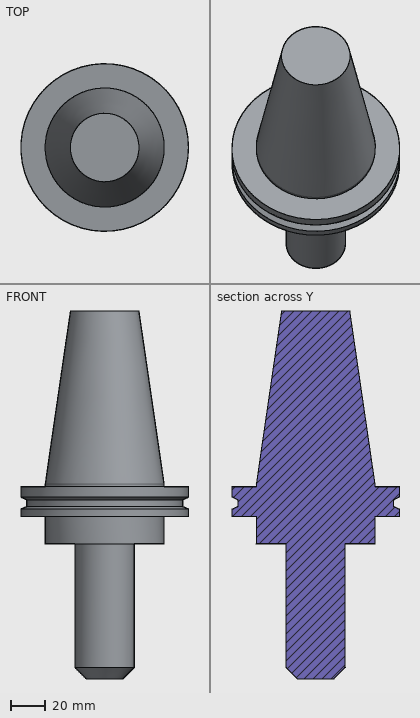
import cadquery as cq

GAUGE_DIAMETER = 69.85
TAPER_LENGTH = 101.6
TAPER_RATIO = 7 / 24

FLANGE_DIAMETER = 98.43
FLANGE_TOP_Z = -1.5
FLANGE_BOTTOM_Z = -19.05
GROOVE_CENTER_Z = -11.125
GROOVE_MOUTH_WIDTH = 7.0
GROOVE_DEPTH = 3.4
GROOVE_FLOOR_WIDTH = 3.83

COLLAR_BOTTOM_Z = -35.0
OVERALL_LENGTH = 215.9
BAR_DIAMETER = 34.93
TIP_CHAMFER = 6.8

gauge_radius = GAUGE_DIAMETER / 2
taper_top_radius = (GAUGE_DIAMETER - TAPER_LENGTH * TAPER_RATIO) / 2
flange_radius = FLANGE_DIAMETER / 2
bar_radius = BAR_DIAMETER / 2
bar_length = OVERALL_LENGTH - TAPER_LENGTH + COLLAR_BOTTOM_Z


def cylinder(radius, bottom_z, top_z):
    """Solid cylinder about the Z axis between two heights."""
    return cq.Workplane("XY").workplane(offset=bottom_z).circle(radius).extrude(top_z - bottom_z)


def revolve_about_z(points):
    """Revolve a closed (radius, z) outline about the Z axis."""
    return cq.Workplane("XZ").polyline(points).close().revolve(360, (0, 0), (0, 1))


def make_taper():
    return revolve_about_z([
        (0, 0),
        (gauge_radius, 0),
        (taper_top_radius, TAPER_LENGTH),
        (0, TAPER_LENGTH),
    ])


def make_groove():
    """Ring removed from the flange rim: sloped flanks and a flat floor."""
    half_mouth = GROOVE_MOUTH_WIDTH / 2
    half_floor = GROOVE_FLOOR_WIDTH / 2
    floor_radius = flange_radius - GROOVE_DEPTH
    return revolve_about_z([
        (flange_radius, GROOVE_CENTER_Z + half_mouth),
        (floor_radius, GROOVE_CENTER_Z + half_floor),
        (floor_radius, GROOVE_CENTER_Z - half_floor),
        (flange_radius, GROOVE_CENTER_Z - half_mouth),
    ])


def make_flange():
    return cylinder(flange_radius, FLANGE_BOTTOM_Z, FLANGE_TOP_Z).cut(make_groove())


def make_collar():
    """Cylinder at the gauge diameter; it also fills the gap between taper and flange."""
    return cylinder(gauge_radius, COLLAR_BOTTOM_Z, 0)


def make_bar():
    bar = cylinder(bar_radius, COLLAR_BOTTOM_Z - bar_length, COLLAR_BOTTOM_Z)
    return bar.faces("<Z").chamfer(TIP_CHAMFER)


result = make_taper().union(make_collar()).union(make_flange()).union(make_bar())